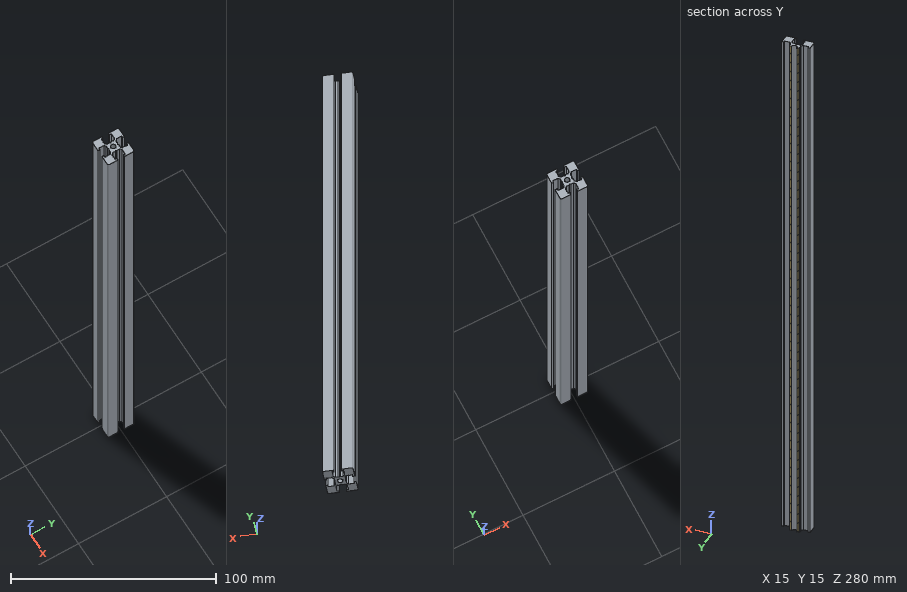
import cadquery as cq

side = 15.0
length = 280.0
corner_radius = 0.8

mouth_width = 3.5
lip_thickness = 1.0
cavity_width = 5.5
core_width = 5.5
cavity_chamfer = 0.8

groove_width = 1.0
groove_depth = 0.3

bore_diameter = 2.5


def make_bar():
    bar = cq.Workplane("XY").rect(side, side).extrude(length)
    return bar.edges("|Z").fillet(corner_radius)


def make_slot():
    """T-slot cutter on the +X side, symmetric about the XZ plane."""
    outer = side / 2
    lip_back = outer - lip_thickness
    floor = core_width / 2
    upper_half = [
        (floor - groove_depth, 0),
        (floor, groove_width / 2),
        (floor, cavity_width / 2 - cavity_chamfer),
        (floor + cavity_chamfer, cavity_width / 2),
        (lip_back, cavity_width / 2),
        (lip_back, mouth_width / 2),
        (outer, mouth_width / 2),
    ]
    lower_half = [(x, -y) for x, y in reversed(upper_half[1:])]
    return cq.Workplane("XY").polyline(upper_half + lower_half).close().extrude(length)


slot = make_slot()
result = make_bar()
for quarter_turn in range(4):
    result = result.cut(slot.rotate((0, 0, 0), (0, 0, 1), 90 * quarter_turn))

result = result.cut(cq.Workplane("XY").circle(bore_diameter / 2).extrude(length))